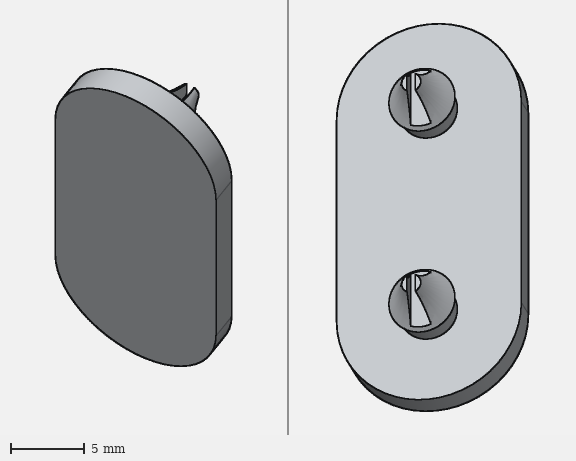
import cadquery as cq

plate_height = 28.0
plate_width = 13.0
plate_thickness = 2.02

total_depth = 7.0
pin_spacing = plate_height - plate_width
post_diameter = 4.0
post_length = 1.95

barb_base_radius = 2.32
barb_middle_radius = 1.3
barb_tip_radius = 0.67

slot_floor_width = 1.43
slot_tip_width = 0.6
slot_floor_height = 0.3

barb_base_y = plate_thickness + post_length
barb_middle_y = (barb_base_y + total_depth) / 2
slot_floor_y = barb_base_y + slot_floor_height


def make_plate():
    return (
        cq.Workplane("XZ")
        .slot2D(plate_height, plate_width, 90)
        .extrude(-plate_thickness)
    )


def make_pin():
    """Pin on the Y axis: post and barb revolved together, then slotted along Z."""
    post_radius = post_diameter / 2
    body = (
        cq.Workplane("XY")
        .moveTo(0, plate_thickness / 2)
        .lineTo(post_radius, plate_thickness / 2)
        .lineTo(post_radius, barb_base_y)
        .lineTo(barb_base_radius, barb_base_y)
        .threePointArc((barb_middle_radius, barb_middle_y), (barb_tip_radius, total_depth))
        .lineTo(0, total_depth)
        .close()
        .revolve(360, (0, 0, 0), (0, 1, 0))
    )
    slot = (
        cq.Workplane("XY")
        .polyline([
            (-slot_floor_width / 2, slot_floor_y),
            (slot_floor_width / 2, slot_floor_y),
            (slot_tip_width / 2, total_depth),
            (-slot_tip_width / 2, total_depth),
        ])
        .close()
        .extrude(barb_base_radius, both=True)
    )
    return body.cut(slot)


result = make_plate()
for side in (-1, 1):
    result = result.union(make_pin().translate((0, 0, side * pin_spacing / 2)))